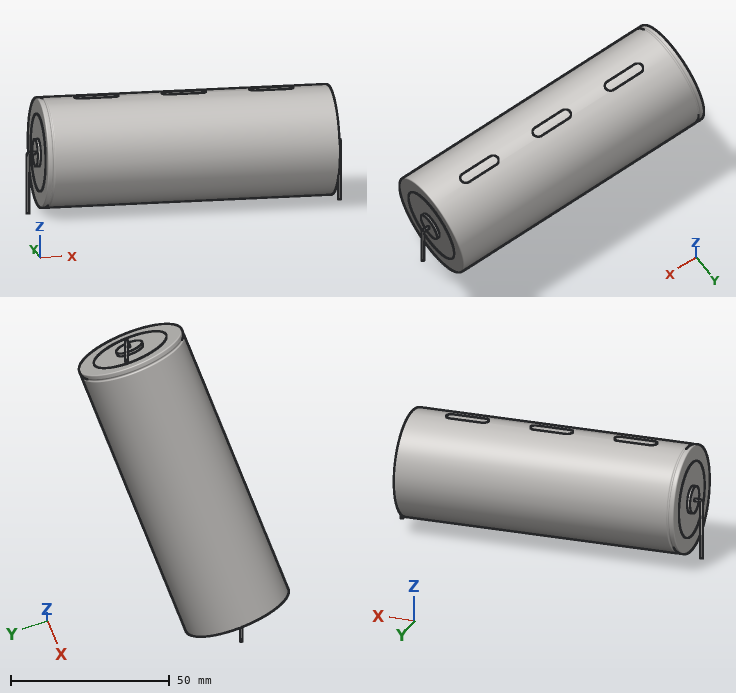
import cadquery as cq

overall_length = 100.9
can_length = 93.5
can_diameter = 35.0
end_fillet = 0.4

groove_offset = 1.9
groove_radius = 0.4
groove_depth = 0.3
groove_fillet = 0.3

recess_diameter = 24.6
recess_depth = 0.1
boss_diameter = 8.8
boss_height = 0.9

lead_diameter = 0.9
bend_radius = 0.9
lead_drop = 2.0

mark_count = 3
mark_pitch = 28.0
mark_length = 14.1
mark_width = 3.5
mark_depth = 0.1

can_radius = can_diameter / 2
half_can = can_length / 2
recess_floor = half_can - recess_depth


def make_can():
    """Cylindrical can with rounded rims, a bead groove and recessed ends."""
    can = cq.Workplane("YZ", origin=(-half_can, 0, 0)).circle(can_radius).extrude(can_length)
    can = can.edges("%CIRCLE").fillet(end_fillet)
    groove_x = -half_can + groove_offset
    ring_radius = can_radius - groove_depth + groove_radius
    ring = (
        cq.Workplane("XY")
        .center(groove_x, ring_radius)
        .circle(groove_radius)
        .revolve(360, (0, -ring_radius), (1, -ring_radius))
    )
    can = can.cut(ring)
    groove_edges = cq.selectors.BoxSelector(
        (groove_x - groove_radius, -can_diameter, -can_diameter),
        (groove_x + groove_radius, can_diameter, can_diameter),
    )
    can = can.edges(groove_edges).edges("%CIRCLE").fillet(groove_fillet)
    recess = cq.Workplane("YZ").circle(recess_diameter / 2).extrude(recess_depth)
    can = can.cut(recess.translate((-half_can, 0, 0)))
    return can.cut(recess.translate((recess_floor, 0, 0)))


def make_marks():
    """Cutter for the row of shallow rounded marks, following the can surface."""
    mark_centres = [((i - (mark_count - 1) / 2) * mark_pitch, 0) for i in range(mark_count)]
    columns = (
        cq.Workplane("XY")
        .pushPoints(mark_centres)
        .slot2D(mark_length, mark_width)
        .extrude(can_diameter)
    )
    core = (
        cq.Workplane("YZ", origin=(-half_can, 0, 0))
        .circle(can_radius - mark_depth)
        .extrude(can_length)
    )
    return columns.cut(core)


def make_terminal():
    """Boss and bent lead of the +X end."""
    boss = (
        cq.Workplane("YZ", origin=(recess_floor, 0, 0))
        .circle(boss_diameter / 2)
        .extrude(recess_depth + boss_height)
    )
    lead_x = overall_length / 2 - lead_diameter / 2
    path = (
        cq.Workplane("XZ")
        .moveTo(recess_floor, 0)
        .lineTo(lead_x - bend_radius, 0)
        .tangentArcPoint((lead_x, -bend_radius), relative=False)
        .lineTo(lead_x, -can_radius - lead_drop)
    )
    lead = cq.Workplane("YZ", origin=(recess_floor, 0, 0)).circle(lead_diameter / 2).sweep(path)
    return boss.union(lead)


terminal = make_terminal()
result = make_can().cut(make_marks()).union(terminal).union(terminal.mirror("YZ"))